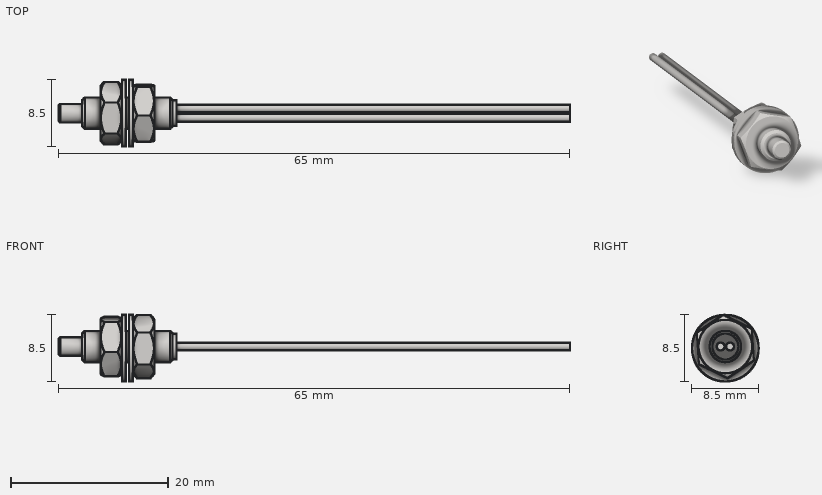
import cadquery as cq
import math

tip_diameter = 2.4
tip_length = 3.0
tip_chamfer = 0.25
sleeve_diameter = 4.0
sleeve_end = 14.5
sleeve_chamfer = 0.35
collar_diameter = sleeve_diameter - 2 * sleeve_chamfer
body_length = 15.0

core_diameter = 0.5
core_length = tip_length

overall_length = 65.0
cable_diameter = 1.0
cable_spacing = 1.2

nut_sides = 6
nut_across_flats = 7.0
nut_thickness = 2.75
nut_face_diameter = 6.8
nut_chamfer_angle = 40.0
corner_up_turn = 90.0
front_nut_start = 5.3
front_nut_turn = -20.0
rear_nut_turn = 4.0

washer_diameter = 8.5
washer_bore = 4.42
washer_thickness = 0.5
washer_gap = 0.4
washer_drop = (washer_bore - sleeve_diameter) / 2

front_washer_start = front_nut_start + nut_thickness
rear_washer_start = front_washer_start + washer_thickness + washer_gap
rear_nut_start = rear_washer_start + washer_thickness


def rod(diameter, start, length, y=0.0, z=0.0):
    """Cylinder along X from X = start, centred on (y, z)."""
    return cq.Workplane("YZ", origin=(start, y, z)).circle(diameter / 2).extrude(length)


def make_core(z):
    """Core running from the tip face to the sleeve."""
    return rod(core_diameter, 0, core_length, z=z)


def make_cable(y):
    """Straight cable from the collar face to the far end of the part."""
    return rod(cable_diameter, body_length, overall_length - body_length, y=y)


def make_housing(cores):
    """Tip, chamfered sleeve and rear collar turned as one piece, bored for the cores."""
    tip = rod(tip_diameter, 0, tip_length).faces("<X").chamfer(tip_chamfer)
    sleeve = rod(sleeve_diameter, tip_length, sleeve_end - tip_length)
    sleeve = sleeve.faces("<X or >X").chamfer(sleeve_chamfer)
    collar = rod(collar_diameter, sleeve_end, body_length - sleeve_end)
    housing = tip.union(sleeve).union(collar)
    for core in cores:
        housing = housing.cut(core)
    return housing


def make_nut(start, turn):
    """Hexagon nut with both faces chamfered; at zero turn two flats face along Y."""
    corner_diameter = nut_across_flats / math.cos(math.pi / nut_sides)
    chamfer_radial = (corner_diameter - nut_face_diameter) / 2
    chamfer_axial = chamfer_radial * math.tan(math.radians(nut_chamfer_angle))
    hexagon = cq.Workplane("YZ").polygon(nut_sides, corner_diameter).extrude(nut_thickness)
    hexagon = hexagon.rotate((0, 0, 0), (1, 0, 0), corner_up_turn + turn)
    turned_blank = rod(corner_diameter, 0, nut_thickness)
    turned_blank = turned_blank.faces("<X or >X").chamfer(chamfer_axial, chamfer_radial)
    bore = rod(sleeve_diameter, 0, nut_thickness)
    return hexagon.intersect(turned_blank).cut(bore).translate((start, 0, 0))


def make_washer(start):
    """Flat washer whose bore rests on top of the sleeve."""
    disc = rod(washer_diameter, start, washer_thickness, z=-washer_drop)
    bore = rod(washer_bore, start, washer_thickness, z=-washer_drop)
    return disc.cut(bore)


cores = [make_core(side * core_diameter / 2) for side in (1, -1)]
cables = [make_cable(side * cable_spacing / 2) for side in (1, -1)]
housing = make_housing(cores)
nuts = [make_nut(front_nut_start, front_nut_turn), make_nut(rear_nut_start, rear_nut_turn)]
washers = [make_washer(start) for start in (front_washer_start, rear_washer_start)]

bodies = [housing, *nuts, *washers, *cores, *cables]
result = cq.Compound.makeCompound([body.val() for body in bodies])